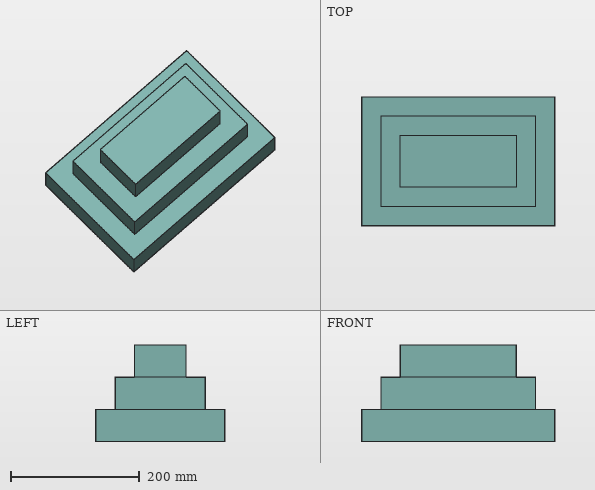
import cadquery as cq

base_length = 300.0
base_width = 200.0
total_height = 150.0
ledge = 30.0

block_count = 3
block_height = total_height / block_count


def make_block(level):
    """Plain rectangular block, centred on Z, set in by one ledge per level."""
    inset = 2 * ledge * level
    return (
        cq.Workplane("XY")
        .workplane(offset=level * block_height)
        .rect(base_length - inset, base_width - inset)
        .extrude(block_height)
    )


base_block = make_block(0)
middle_block = make_block(1)
top_block = make_block(2)

result = cq.Compound.makeCompound([base_block.val(), middle_block.val(), top_block.val()])